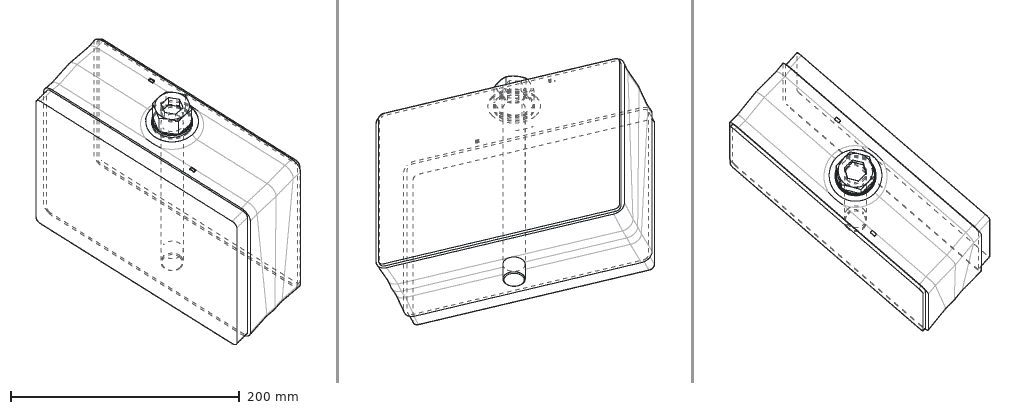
import cadquery as cq
import math


overall_width = 232.7
flange_height = 176.8
half_depth = 35.1
draft_angle = 2.5
valley_top = 26.3
valley_bottom = 9.8
corner_radius = 10.0

panel_width = 224.8
panel_height = 171.7
panel_corner_radius = 5.1
front_panel_depth = 15.0
back_panel_depth = 3.0

notch_offset = 45.1
notch_width = 5.0
notch_length = 2.5
notch_depth = 1.2

boss_radius = 23.0
boss_height = 4.7
boss_fillet = 4.7
seat_radius = 18.0
seat_depth = 2.3

shaft_radius = 9.8
shaft_projection = 16.8
shaft_chamfer = 1.0
collar_radius = 17.2
collar_chamfer = 0.7
collar_height = 2.0
hex_across_flats = 30.2
hex_height = 19.5
hex_chamfer_angle = 30.0
socket_across_flats = 17.0
socket_depth = 10.2
socket_point_angle = 118.0
shaft_turn = -3.0

draft_slope = math.tan(math.radians(draft_angle))
roof_z = flange_height / 2


def ridge_rise(valley_distance):
    """Height of the ridge over the flanges when equal drafts meet at this valley distance."""
    return draft_slope * (2 * valley_distance - half_depth)


rise_top = ridge_rise(valley_top)
rise_bottom = ridge_rise(valley_bottom)
rise_widest = rise_top - (rise_top - rise_bottom) * corner_radius / flange_height
flange_width = overall_width - 2 * rise_widest
boss_top_z = roof_z + boss_height
seat_z = boss_top_z - seat_depth
hex_base_z = boss_top_z + collar_height
hex_top_z = hex_base_z + hex_height


def drafted_block(outline, direction):
    """Extrude an XZ outline from a Y plane, narrowing with the draft, and round its corners."""
    block = outline.extrude(direction * half_depth, taper=draft_angle)
    return block.edges("not(#Y)").fillet(corner_radius)


def make_ridge_body():
    """Double wedge that forms the ridge all around, with the filleted boss on its roof.

    The half toward -Y is built first and mirrored, so the fillet ends cleanly on the ridge plane.
    """
    half_flange = flange_width / 2
    outline = [
        (half_flange + rise_top, roof_z + rise_top),
        (-half_flange - rise_top, roof_z + rise_top),
        (-half_flange - rise_bottom, -roof_z - rise_bottom),
        (half_flange + rise_bottom, -roof_z - rise_bottom),
    ]
    body = drafted_block(cq.Workplane("XZ").polyline(outline).close(), 1)
    front_side = cq.Workplane("XY").box(
        overall_width, half_depth, 2 * flange_height, centered=(True, False, True)
    ).translate((0, -half_depth, 0))
    boss_blank = cq.Workplane("XY").circle(boss_radius).extrude(roof_z + 2 * boss_height)
    body = body.union(boss_blank.intersect(front_side))
    base_arc = cq.selectors.BoxSelector(
        (-boss_radius, -2 * boss_radius, roof_z - boss_height),
        (boss_radius, -boss_radius / 2, boss_top_z),
    )
    body = body.edges(base_arc).fillet(boss_fillet)
    trim = cq.Workplane("XY").workplane(offset=boss_top_z).circle(2 * boss_radius).extrude(2 * boss_height)
    body = body.cut(trim)
    return body.union(body.mirror("XZ"))


def make_shell():
    """Ridge body joined to the two walls that narrow from the flanges toward the ridge plane."""
    wall_plane = cq.Workplane("XZ", origin=(0, -half_depth, 0))
    front_wall = drafted_block(wall_plane.rect(flange_width, flange_height), -1)
    walls = front_wall.union(front_wall.mirror("XZ"))
    return walls.union(make_ridge_body())


def make_panel(start_y, depth):
    """Rounded rectangular panel reaching from start_y toward +Y."""
    panel = cq.Workplane("XZ", origin=(0, start_y, 0)).rect(panel_width, panel_height)
    return panel.extrude(-depth).edges("|Y").fillet(panel_corner_radius)


def make_notches():
    """Two notches on the flange side of the roof valleys, half a turn apart."""
    valley_z = roof_z - draft_slope * (half_depth - valley_top)
    notch = cq.Workplane("XY").box(notch_width, notch_length, 2 * notch_depth)
    notch = notch.translate((notch_offset, -valley_top - notch_length / 2, valley_z))
    return notch.union(notch.rotate((0, 0, 0), (0, 0, 1), 180))


def make_housing():
    housing = make_shell()
    housing = housing.union(make_panel(-half_depth - front_panel_depth, front_panel_depth))
    housing = housing.union(make_panel(half_depth, back_panel_depth))
    housing = housing.cut(make_notches())
    bore = cq.Workplane("XY").circle(shaft_radius).extrude(flange_height * 2, both=True)
    seat = cq.Workplane("XY").workplane(offset=seat_z).circle(seat_radius).extrude(boss_height)
    return housing.cut(bore).cut(seat)


def hexagon(across_flats, base_z, height):
    """Hexagonal prism with two corners on the Y axis."""
    base = cq.Workplane("XY").workplane(offset=base_z)
    return base.polygon(6, across_flats, circumscribed=True).extrude(height)


def make_head():
    """Hexagonal head with chamfered top corners and a hexagonal socket with a drilled bottom."""
    flat_radius = hex_across_flats / 2
    outer_radius = hex_across_flats
    chamfer_drop = (outer_radius - flat_radius) * math.tan(math.radians(hex_chamfer_angle))
    envelope = (
        cq.Workplane("XZ")
        .polyline([
            (0, hex_base_z),
            (outer_radius, hex_base_z),
            (outer_radius, hex_top_z - chamfer_drop),
            (flat_radius, hex_top_z),
            (0, hex_top_z),
        ])
        .close()
        .revolve(360, (0, 0, 0), (0, 1, 0))
    )
    head = hexagon(hex_across_flats, hex_base_z, hex_height).intersect(envelope)

    socket_z = hex_top_z - socket_depth
    point_radius = socket_across_flats / math.sqrt(3)
    point_depth = point_radius / math.tan(math.radians(socket_point_angle / 2))
    point = cq.Workplane("XY").add(
        cq.Solid.makeCone(point_radius, 0, point_depth, cq.Vector(0, 0, socket_z), cq.Vector(0, 0, -1))
    )
    socket = hexagon(socket_across_flats, socket_z, socket_depth)
    return head.cut(socket).cut(point)


def make_shaft():
    shaft_bottom_z = -roof_z - shaft_projection
    rod = cq.Workplane("XY").workplane(offset=shaft_bottom_z).circle(shaft_radius)
    rod = rod.extrude(seat_z - shaft_bottom_z).faces("<Z").chamfer(shaft_chamfer)
    collar = cq.Workplane("XY").workplane(offset=seat_z).circle(collar_radius)
    collar = collar.extrude(hex_base_z - seat_z).faces(">Z").chamfer(collar_chamfer)
    shaft = rod.union(collar).union(make_head())
    return shaft.rotate((0, 0, 0), (0, 0, 1), shaft_turn)


housing = make_housing()
shaft = make_shaft()
result = cq.Compound.makeCompound([housing.val(), shaft.val()])